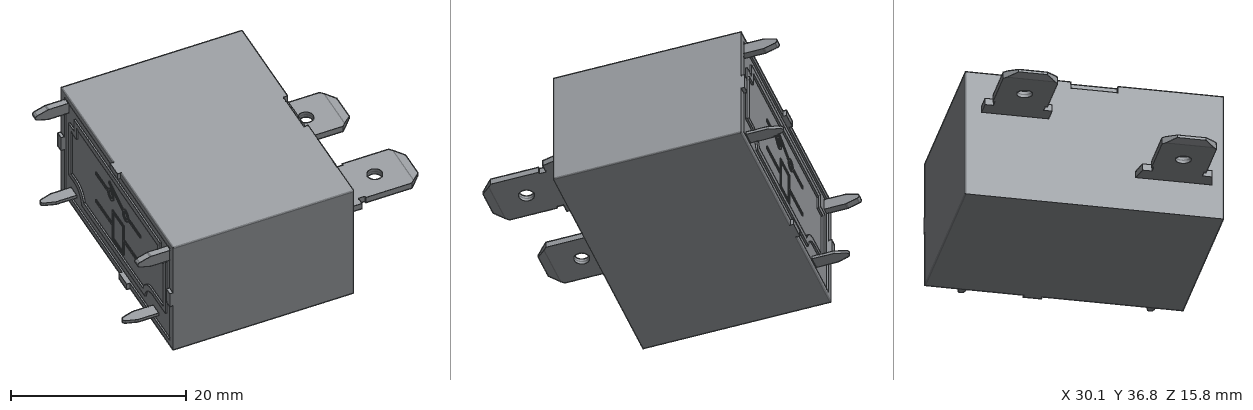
import cadquery as cq
import math


CASE_WIDTH = 30.1
CASE_HEIGHT = 15.8
CASE_DEPTH = 22.78
EDGE_RADIUS = 0.1

RIM_SIDE = 0.92
RIM_TOP = 0.85
BASE_RECESS = 0.22

STANDOFF_HEIGHT = 0.4
STANDOFF_LENGTH = 2.0
BOTTOM_STANDOFF_LENGTH = 2.1
BOTTOM_STANDOFF_X = 2.43

NOTCH_WIDTH = 5.5
NOTCH_LENGTH = 0.55
NOTCH_DEPTH = 0.8

RIDGE_HEIGHT = BASE_RECESS
RIDGE_OUTER = {
    "top_half_width": 11.55,
    "side_half_width": 13.03,
    "bottom_half_width": 8.5,
    "arc_start": 10.52,
    "half_height": 5.75,
    "upper_step_z": 4.0,
    "lower_step_z": -3.85,
}
RIDGE_INNER = {
    "top_half_width": 10.9,
    "side_half_width": 12.33,
    "bottom_half_width": 7.95,
    "arc_start": 10.15,
    "half_height": 4.93,
    "upper_step_z": 3.25,
    "lower_step_z": -3.25,
}

DIAGRAM_HEIGHT = 0.1
WIRE_WIDTH = 0.3
WIRE_END_X = 6.0
CONTACT_X = 2.0
CONTACT_Z = 2.05
CONTACT_OUTER_DIAMETER = 1.55
CONTACT_INNER_DIAMETER = 1.0
ARM_TIP_X = -2.43
ARM_TIP_Z = 3.65
COIL_WIDTH = 3.05
COIL_HEIGHT = 4.45
COIL_STROKE = 0.25
COIL_Z = -2.17

PIN_REACH = 4.0
PIN_WIDTH = 1.5
PIN_TAPER_LENGTH = 1.62
PIN_TIP_RADIUS = 0.35
PIN_SHOULDER_RADIUS = 0.5
CONTACT_PIN_THICKNESS = 0.8
CONTACT_PIN_X = CASE_WIDTH / 2 - RIM_SIDE - CONTACT_PIN_THICKNESS / 2
CONTACT_PIN_Z = 6.0
COIL_PIN_THICKNESS = 0.4
COIL_PIN_SPACING = 22.0
COIL_PIN_CENTER_X = -1.0
COIL_PIN_Z = -5.92

TAB_REACH = 10.0
TAB_THICKNESS = 0.8
TAB_X = 9.25
TAB_Z = 3.25
BLADE_WIDTH = 6.33
NECK_WIDTH = 5.85
NECK_LENGTH = 0.8
SHOULDER_LENGTH = 1.9
TIP_WIDTH = 3.35
TIP_LENGTH = 1.47
BEVEL_LENGTH = 1.1
TIP_THICKNESS = 0.33
TAB_HOLE_DIAMETER = 1.8
TAB_HOLE_FROM_TIP = 4.67
STRAIGHT_SHOULDER_WIDTH = 7.8
FLARED_SHOULDER_WIDTH = 8.05
FLARED_FOOT_WIDTH = 8.9

SIDES = (-1, 1)


def front_plane(y):
    """Sketch plane at depth y with local axes X and Z; it extrudes toward -Y."""
    return cq.Workplane("XZ", origin=(0, y, 0))



def make_case():
    case = cq.Workplane("XY").box(CASE_WIDTH, CASE_DEPTH, CASE_HEIGHT)
    case = case.translate((0, CASE_DEPTH / 2, 0))
    case = case.edges("|Y or (|Z and >Y) or (|X and <Y)").fillet(EDGE_RADIUS)
    base_opening = (
        front_plane(BASE_RECESS)
        .rect(CASE_WIDTH - 2 * RIM_SIDE, CASE_HEIGHT - 2 * RIM_TOP)
        .extrude(BASE_RECESS)
    )
    notch = cq.Workplane("XY").box(NOTCH_WIDTH, 2 * NOTCH_LENGTH, 2 * NOTCH_DEPTH)
    notch = notch.translate((0, CASE_DEPTH, CASE_HEIGHT / 2))
    return case.cut(base_opening).cut(notch)


def make_standoffs():
    """One standoff on each side of the rim, rooted below the rounded rim edge."""
    side_x = (CASE_WIDTH - RIM_SIDE) / 2
    top_z = (CASE_HEIGHT - RIM_TOP) / 2
    plane = front_plane(EDGE_RADIUS)
    length = STANDOFF_HEIGHT + EDGE_RADIUS
    sides = plane.pushPoints([(-side_x, 0), (side_x, 0)]).rect(RIM_SIDE, STANDOFF_LENGTH).extrude(length)
    top = plane.center(0, top_z).rect(STANDOFF_LENGTH, RIM_TOP).extrude(length)
    bottom = plane.center(BOTTOM_STANDOFF_X, -top_z).rect(BOTTOM_STANDOFF_LENGTH, RIM_TOP).extrude(length)
    return sides.union(top).union(bottom)


def ridge_block(
    top_half_width,
    side_half_width,
    bottom_half_width,
    arc_start,
    half_height,
    upper_step_z,
    lower_step_z,
):
    """Block with square upper corner steps and round lower ones that clear the coil pins."""
    drop = half_height + lower_step_z
    run = arc_start - bottom_half_width
    radius = (run**2 + drop**2) / (2 * drop)
    middle = COIL_PIN_CENTER_X
    return (
        front_plane(BASE_RECESS)
        .moveTo(-top_half_width, half_height)
        .lineTo(top_half_width, half_height)
        .lineTo(top_half_width, upper_step_z)
        .lineTo(side_half_width, upper_step_z)
        .lineTo(side_half_width, lower_step_z)
        .lineTo(middle + arc_start, lower_step_z)
        .radiusArc((middle + bottom_half_width, -half_height), -radius)
        .lineTo(middle - bottom_half_width, -half_height)
        .radiusArc((middle - arc_start, lower_step_z), -radius)
        .lineTo(-side_half_width, lower_step_z)
        .lineTo(-side_half_width, upper_step_z)
        .lineTo(-top_half_width, upper_step_z)
        .close()
        .extrude(RIDGE_HEIGHT)
    )


def make_ridge():
    return ridge_block(**RIDGE_OUTER).cut(ridge_block(**RIDGE_INNER))


def make_coil_symbol():
    plane = front_plane(BASE_RECESS).center(0, COIL_Z)
    wire = plane.rect(2 * WIRE_END_X, WIRE_WIDTH).extrude(DIAGRAM_HEIGHT)
    coil = plane.rect(COIL_WIDTH, COIL_HEIGHT).extrude(DIAGRAM_HEIGHT)
    inside = plane.rect(COIL_WIDTH - 2 * COIL_STROKE, COIL_HEIGHT - 2 * COIL_STROKE).extrude(DIAGRAM_HEIGHT)
    return wire.union(coil).cut(inside)


def make_switch_symbol():
    plane = front_plane(BASE_RECESS)
    contacts = [(side * CONTACT_X, CONTACT_Z) for side in SIDES]
    wire_middle = (WIRE_END_X + CONTACT_X) / 2
    wires = (
        plane.pushPoints([(side * wire_middle, CONTACT_Z) for side in SIDES])
        .rect(WIRE_END_X - CONTACT_X, WIRE_WIDTH)
        .extrude(DIAGRAM_HEIGHT)
    )
    arm_run = CONTACT_X - ARM_TIP_X
    arm_rise = CONTACT_Z - ARM_TIP_Z
    arm = (
        plane.center((CONTACT_X + ARM_TIP_X) / 2, (CONTACT_Z + ARM_TIP_Z) / 2)
        .transformed(rotate=(0, 0, math.degrees(math.atan2(arm_rise, arm_run))))
        .rect(math.hypot(arm_run, arm_rise), WIRE_WIDTH)
        .extrude(DIAGRAM_HEIGHT)
    )
    discs = plane.pushPoints(contacts).circle(CONTACT_OUTER_DIAMETER / 2).extrude(DIAGRAM_HEIGHT)
    holes = plane.pushPoints(contacts).circle(CONTACT_INNER_DIAMETER / 2).extrude(DIAGRAM_HEIGHT)
    return wires.union(arm).union(discs).cut(holes)


def make_housing():
    housing = make_case()
    for detail in (make_standoffs(), make_ridge(), make_coil_symbol(), make_switch_symbol()):
        housing = housing.union(detail)
    return housing.solids()



def make_pin(thickness):
    """Pin along -Y from the base, flat in XY, tapering to a round tip."""
    half_width = PIN_WIDTH / 2
    taper_y = -PIN_REACH + PIN_TAPER_LENGTH
    tip_center_y = -PIN_REACH + PIN_TIP_RADIUS
    straight = taper_y - tip_center_y
    radius_angle = math.acos(PIN_TIP_RADIUS / math.hypot(half_width, straight))
    taper_angle = radius_angle - math.atan2(straight, half_width)
    tangent_x = PIN_TIP_RADIUS * math.cos(taper_angle)
    tangent_y = tip_center_y - PIN_TIP_RADIUS * math.sin(taper_angle)
    pin = (
        cq.Workplane("XY")
        .moveTo(-half_width, BASE_RECESS)
        .lineTo(-half_width, taper_y)
        .lineTo(-tangent_x, tangent_y)
        .threePointArc((0, -PIN_REACH), (tangent_x, tangent_y))
        .lineTo(half_width, taper_y)
        .lineTo(half_width, BASE_RECESS)
        .close()
        .extrude(thickness / 2, both=True)
    )
    shoulders = cq.selectors.BoxSelector(
        (-PIN_WIDTH, taper_y - PIN_TIP_RADIUS, -thickness),
        (PIN_WIDTH, taper_y + PIN_TIP_RADIUS, thickness),
    )
    return pin.edges("|Z").edges(shoulders).fillet(PIN_SHOULDER_RADIUS)


def make_contact_pin(side):
    """Thick pin standing on edge, against the side wall of the rim."""
    pin = make_pin(CONTACT_PIN_THICKNESS).rotate((0, 0, 0), (0, 1, 0), 90)
    return pin.translate((side * CONTACT_PIN_X, 0, CONTACT_PIN_Z))


def make_coil_pin(side):
    """Thin pin lying flat below the ridge."""
    x = COIL_PIN_CENTER_X + side * COIL_PIN_SPACING / 2
    return make_pin(COIL_PIN_THICKNESS).translate((x, 0, COIL_PIN_Z))



def make_tab(shoulder_width, foot_width):
    """Blade with a pierced hole, a narrow neck and a wide shoulder at the case."""
    rear = CASE_DEPTH
    tip = rear + TAB_REACH
    shoulder_end = rear + SHOULDER_LENGTH
    neck_end = shoulder_end + NECK_LENGTH
    right_side = [
        (foot_width / 2, rear),
        (shoulder_width / 2, shoulder_end),
        (NECK_WIDTH / 2, shoulder_end),
        (NECK_WIDTH / 2, neck_end),
        (BLADE_WIDTH / 2, neck_end),
        (BLADE_WIDTH / 2, tip - TIP_LENGTH),
        (TIP_WIDTH / 2, tip),
    ]
    left_side = [(-x, y) for x, y in reversed(right_side)]
    plate = cq.Workplane("XY").polyline(right_side + left_side).close().extrude(TAB_THICKNESS / 2, both=True)
    bevelled_profile = (
        cq.Workplane("YZ")
        .moveTo(rear, -TAB_THICKNESS / 2)
        .lineTo(tip - BEVEL_LENGTH, -TAB_THICKNESS / 2)
        .lineTo(tip, -TIP_THICKNESS / 2)
        .lineTo(tip, TIP_THICKNESS / 2)
        .lineTo(tip - BEVEL_LENGTH, TAB_THICKNESS / 2)
        .lineTo(rear, TAB_THICKNESS / 2)
        .close()
        .extrude(foot_width, both=True)
    )
    hole = (
        cq.Workplane("XY")
        .center(0, tip - TAB_HOLE_FROM_TIP)
        .circle(TAB_HOLE_DIAMETER / 2)
        .extrude(TAB_THICKNESS, both=True)
    )
    return plate.intersect(bevelled_profile).cut(hole)



housing = make_housing()
contact_pins = [make_contact_pin(side).val() for side in SIDES]
coil_pins = [make_coil_pin(side).val() for side in SIDES]
flared_tab = make_tab(FLARED_SHOULDER_WIDTH, FLARED_FOOT_WIDTH).translate((-TAB_X, 0, -TAB_Z))
straight_tab = make_tab(STRAIGHT_SHOULDER_WIDTH, STRAIGHT_SHOULDER_WIDTH).translate((TAB_X, 0, TAB_Z))

result = cq.Compound.makeCompound(
    [housing.val(), *contact_pins, *coil_pins, flared_tab.val(), straight_tab.val()]
)